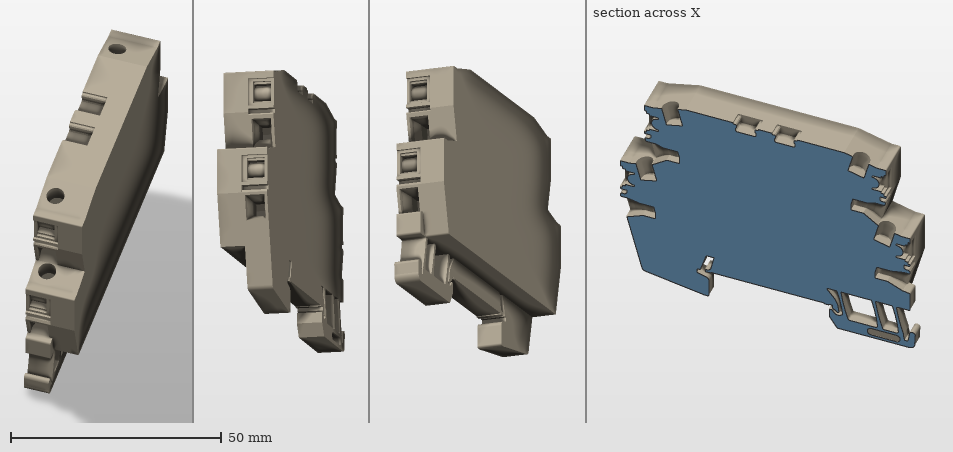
import cadquery as cq
import math

FULL_WIDTH = 12.2
SLIM_WIDTH = 6.2
TOP_Z = 57.77
TOTAL_LENGTH = 75.7
TIER_SHIFT_Y = 6.15
TIER_SHIFT_Z = 19.75
UPPER_HALF_LENGTH = 31.05
LOWER_HALF_LENGTH = UPPER_HALF_LENGTH + TIER_SHIFT_Y
UNDERSIDE_Z = 12.72
TILT = math.tan(math.radians(14.4))

RIDGE_HALF_LENGTH = 20.3
SHOULDER_WIDTH = 2.4
UPPER_SHOULDER_Z = TOP_Z - (UPPER_HALF_LENGTH - SHOULDER_WIDTH - RIDGE_HALF_LENGTH) * TILT
LOWER_SHOULDER_Z = UPPER_SHOULDER_Z - TIER_SHIFT_Z
UPPER_FACE_BOTTOM_Z = 45.75
LOWER_FACE_BOTTOM_Z = 25.0
NOTCH_Y = 28.95
NOTCH_Z = LOWER_SHOULDER_Z + (LOWER_HALF_LENGTH - SHOULDER_WIDTH - NOTCH_Y) * TILT
UNDERSIDE_HALF_LENGTH = LOWER_HALF_LENGTH - (LOWER_FACE_BOTTOM_Z - UNDERSIDE_Z) * TILT
CORNER_RADIUS = 0.5
SHOULDER_RADIUS = 0.3

BLOCK_TOP_Z = 18.55
BLOCK_TOP_DROP = 0.3

FOOT_CORNER_Z = 2.65
FOOT_RADIUS = 1.2
FOOT_TIP_Y = 14.36
FOOT_TIP_TOP_Z = 5.85
FOOT_FLAT_LENGTH = 1.2
RAIL_SLOT_Y = 17.4
RAIL_SLOT_BOTTOM_Z = 6.75
RELIEF_OUTER_Y = (16.6, 15.1)

SEAT_Z = 7.77
SEAT_LIP_Z = 7.55
LIP_OUTER_Y = 15.33
LIP_INNER_Y = 14.0
LIP_TOP_Z = 8.5
LIP_NECK_Z = 9.1
LIP_ROOT_MID = (14.4, 8.6)
RELIEF_INNER_TOP_Y = 13.2
PAD_Y = (-15.1, -16.3)
CLAW_Y = -17.15
CLAW_SHOULDER_Z = 6.9
CLAW_TIP_INNER = (-18.3, 6.1)
CLAW_TIP_OUTER = (-19.0, 6.1)
CLAW_TIP_BOTTOM = (-18.65, 5.9)
CLAW_BACK_LOW = (-18.8, 7.0)
CLAW_BACK_MID = (-18.25, 9.4)
CLAW_BACK_HIGH = (-17.35, 10.75)
CLAW_ROOT_Y = -15.75

LATCH_BOTTOM_Z = 0.86
LATCH_TOP_Z = 4.55
LATCH_LIP_Y = -16.43
LATCH_LIP_Z = 6.4
LATCH_NOSE_Z = 3.9
LATCH_NOSE_Y = -18.4
SOCKET_Z = 6.0
SOCKET_INNER_Y = -17.4
SOCKET_OUTER_Y = -19.85
SOCKET_BOTTOM = (-18.6, 5.2)
SOCKET_WALL_FOOT_Y = -20.4
HOOK_END_Y = LOWER_HALF_LENGTH - TOTAL_LENGTH
HOOK_RADIUS = 0.8
HOOK_CENTRE_Z = 5.25
HOOK_SLOT_TOP_Y = -35.4
HOOK_SLOT_FLOOR_Z = 2.9
HOOK_SLOT_FLOOR_Y = (-35.75, -36.5)
HOOK_HEEL = (-38.35, 2.7)
HOOK_HEEL_MID = (-38.0, 1.4)
HOOK_HEEL_BOTTOM_Y = -36.9

STRUT_OFFSETS = (0, 8.85, 14.2)
STRUT_FRONT_Y = -18.3
STRUT_FRONT_MID = (-19.3, 8.8)
STRUT_FRONT_FOOT_Y = -19.9
STRUT_BACK_Y = -19.45
STRUT_BACK_MID = (-20.2, 8.7)
STRUT_BACK_FOOT_Y = -21.35
STRUT_FILLET = 0.45

GRIP_LENGTH = 8.3
GRIP_HEIGHT = 1.9
GRIP_DEPTH = 3.0
GRIP_Y = -30.35
GRIP_Z = 2.7

CLIP_CENTRES = (-5.0, 5.0)
CLIP_MOUTH_HALF = 3.2
CLIP_NECK_HALF = 2.3
CLIP_FLOOR_HALF = 2.6
CLIP_LEDGE_DEPTH = 0.4
CLIP_NECK_DEPTH = 1.4
CLIP_CHAMFER = 0.25
CLIP_DEPTH = 2.57

HOLE_DIAMETER = 4.3
HOLE_DEPTH = 5.0
HOLE_X = 3.5
UPPER_HOLE_Y = 24.5
LOWER_HOLE_Y = 31.1

RECESS_TOP_Z = 53.85
RECESS_BOTTOM_Z = 47.3
RECESS_DEPTH = 0.6
RECESS_MID_Z = (RECESS_TOP_Z + RECESS_BOTTOM_Z) / 2
POCKET_LEFT_X = 0.7
WINDOW_RIGHT_X = 5.1
WINDOW_HEIGHT = 5.2
WINDOW_DEPTH = 0.7
ROLLER_RADIUS = 1.75
ROLLER_BAY_HEIGHT = 4.2
ROLLER_BAY_DEPTH = 2.3
GROOVE_TOP_Z = 46.55
GROOVE_BOTTOM_Z = 45.4
GROOVE_DEPTH = 1.65
GROOVE_CHAMFER = 0.4
GROOVE_LIP_DROP = 0.55

FUNNEL_RIGHT_X = 5.45
FUNNEL_TOP_Z = 44.15
FUNNEL_RIM_Z = 38.85
THROAT_DEPTH = 4.4
WIRE_LEFT_X = 1.9
WIRE_RIGHT_X = 4.8
WIRE_TOP_Z = 43.5
WIRE_BOTTOM_Z = 40.05
WIRE_BEND_Z = 41.9
WIRE_DEPTH = 8.0


def prism(points, width):
    """Extrude a closed (Y, Z) outline from X = 0 to X = width."""
    return cq.Workplane("YZ").polyline(points).close().extrude(width)


def box(x_range, y_range, z_range):
    corner = (x_range[0], y_range[0], z_range[0])
    size = (x_range[1] - x_range[0], y_range[1] - y_range[0], z_range[1] - z_range[0])
    return cq.Workplane("XY").box(*size, centered=False).translate(corner)


def fillet_edge_at(solid, y, z, radius, width=SLIM_WIDTH):
    """Round the edge along X nearest to the given (Y, Z) position."""
    nearest = cq.selectors.NearestToPointSelector((width / 2, y, z))
    return solid.edges("|X").edges(nearest).fillet(radius)


def make_housing():
    half = [
        (RIDGE_HALF_LENGTH, TOP_Z),
        (UPPER_HALF_LENGTH - SHOULDER_WIDTH, UPPER_SHOULDER_Z),
        (UPPER_HALF_LENGTH, UPPER_SHOULDER_Z),
        (UPPER_HALF_LENGTH, UPPER_FACE_BOTTOM_Z),
        (NOTCH_Y, NOTCH_Z),
        (LOWER_HALF_LENGTH - SHOULDER_WIDTH, LOWER_SHOULDER_Z),
        (LOWER_HALF_LENGTH, LOWER_SHOULDER_Z),
        (LOWER_HALF_LENGTH, LOWER_FACE_BOTTOM_Z),
        (UNDERSIDE_HALF_LENGTH, UNDERSIDE_Z),
    ]
    other_half = [(-y, z) for y, z in reversed(half)]
    housing = prism(half + other_half, FULL_WIDTH)
    housing = housing.edges("|X").edges("<Z").edges("<Y").fillet(CORNER_RADIUS)
    shoulders = (
        (UPPER_HALF_LENGTH, UPPER_SHOULDER_Z),
        (LOWER_HALF_LENGTH, LOWER_SHOULDER_Z),
    )
    for y, z in shoulders:
        for end_y in (-y, y):
            housing = fillet_edge_at(housing, end_y, z, SHOULDER_RADIUS, FULL_WIDTH)
    return housing


def make_stop_block():
    """Slim block that closes the undercut below the lower -Y tier."""
    inner_y = -LOWER_HALF_LENGTH + (LOWER_FACE_BOTTOM_Z - BLOCK_TOP_Z) * TILT
    root_y = -UNDERSIDE_HALF_LENGTH + 2 * CORNER_RADIUS
    block = prism([
        (inner_y, BLOCK_TOP_Z),
        (-LOWER_HALF_LENGTH, BLOCK_TOP_Z - BLOCK_TOP_DROP),
        (-LOWER_HALF_LENGTH, UNDERSIDE_Z),
        (root_y, UNDERSIDE_Z),
        (root_y, BLOCK_TOP_Z),
    ], SLIM_WIDTH)
    return block.edges("|X").edges("<Y").fillet(CORNER_RADIUS)


def make_foot():
    """Fixed foot that hooks under the +Y edge of the rail."""
    corner_y = LOWER_HALF_LENGTH - (LOWER_FACE_BOTTOM_Z - FOOT_CORNER_Z) * TILT
    relief_bottom_y, relief_top_y = RELIEF_OUTER_Y
    foot = prism([
        (UNDERSIDE_HALF_LENGTH, UNDERSIDE_Z),
        (corner_y, FOOT_CORNER_Z),
        (FOOT_TIP_Y + FOOT_FLAT_LENGTH, 0),
        (FOOT_TIP_Y, 0),
        (FOOT_TIP_Y, FOOT_TIP_TOP_Z),
        (RAIL_SLOT_Y, RAIL_SLOT_BOTTOM_Z),
        (RAIL_SLOT_Y, SEAT_Z),
        (relief_bottom_y, SEAT_Z),
        (relief_top_y, UNDERSIDE_Z),
    ], SLIM_WIDTH)
    foot = fillet_edge_at(foot, corner_y, FOOT_CORNER_Z, FOOT_RADIUS)
    foot = fillet_edge_at(foot, FOOT_TIP_Y, FOOT_TIP_TOP_Z, FOOT_RADIUS)
    return fillet_edge_at(foot, FOOT_TIP_Y, 0, CORNER_RADIUS)


def make_rail_seat():
    """Rail seat with a small lip at +Y and a hanging claw at -Y."""
    pad_start_y, pad_end_y = PAD_Y
    return (
        cq.Workplane("YZ")
        .moveTo(RELIEF_INNER_TOP_Y, UNDERSIDE_Z)
        .lineTo(LIP_INNER_Y, LIP_NECK_Z)
        .threePointArc(LIP_ROOT_MID, (LIP_OUTER_Y, LIP_TOP_Z))
        .lineTo(LIP_OUTER_Y, SEAT_LIP_Z)
        .lineTo(LIP_INNER_Y, SEAT_LIP_Z)
        .lineTo(LIP_INNER_Y, SEAT_Z)
        .lineTo(pad_start_y, SEAT_Z)
        .lineTo(pad_start_y, SEAT_LIP_Z)
        .lineTo(pad_end_y, SEAT_LIP_Z)
        .lineTo(pad_end_y, SEAT_Z)
        .lineTo(CLAW_Y, SEAT_Z)
        .lineTo(CLAW_Y, CLAW_SHOULDER_Z)
        .lineTo(*CLAW_TIP_INNER)
        .threePointArc(CLAW_TIP_BOTTOM, CLAW_TIP_OUTER)
        .lineTo(*CLAW_BACK_LOW)
        .threePointArc(CLAW_BACK_MID, CLAW_BACK_HIGH)
        .lineTo(CLAW_ROOT_Y, UNDERSIDE_Z)
        .close()
        .extrude(SLIM_WIDTH)
    )


def make_strut(offset):
    """Thin curved latch strut, moved toward -Y by the offset."""
    return (
        cq.Workplane("YZ")
        .moveTo(STRUT_FRONT_Y, UNDERSIDE_Z)
        .threePointArc(STRUT_FRONT_MID, (STRUT_FRONT_FOOT_Y, LATCH_TOP_Z))
        .lineTo(STRUT_BACK_FOOT_Y, LATCH_TOP_Z)
        .threePointArc(STRUT_BACK_MID, (STRUT_BACK_Y, UNDERSIDE_Z))
        .close()
        .extrude(SLIM_WIDTH)
        .translate((0, -offset, 0))
    )


def make_strut_gusset():
    """Rounded inside corner between the last strut and the housing underside."""
    root_y = STRUT_BACK_Y - STRUT_OFFSETS[-1]
    bulge = STRUT_FILLET * (1 - math.sqrt(0.5))
    return (
        cq.Workplane("YZ")
        .moveTo(root_y, UNDERSIDE_Z)
        .lineTo(root_y - STRUT_FILLET, UNDERSIDE_Z)
        .threePointArc((root_y - bulge, UNDERSIDE_Z - bulge), (root_y, UNDERSIDE_Z - STRUT_FILLET))
        .close()
        .extrude(SLIM_WIDTH)
    )


def make_latch():
    hook_inner_y = HOOK_END_Y + 2 * HOOK_RADIUS
    hook_top = (HOOK_END_Y + HOOK_RADIUS, HOOK_CENTRE_Z + HOOK_RADIUS)
    slot_start_y, slot_end_y = HOOK_SLOT_FLOOR_Y
    latch = (
        cq.Workplane("YZ")
        .moveTo(LATCH_LIP_Y, LATCH_LIP_Z)
        .lineTo(CLAW_Y, LATCH_LIP_Z)
        .lineTo(SOCKET_INNER_Y, SOCKET_Z)
        .threePointArc(SOCKET_BOTTOM, (SOCKET_OUTER_Y, SOCKET_Z))
        .lineTo(SOCKET_WALL_FOOT_Y, LATCH_TOP_Z)
        .lineTo(HOOK_SLOT_TOP_Y, LATCH_TOP_Z)
        .lineTo(slot_start_y, HOOK_SLOT_FLOOR_Z)
        .lineTo(slot_end_y, HOOK_SLOT_FLOOR_Z)
        .lineTo(hook_inner_y, HOOK_CENTRE_Z)
        .threePointArc(hook_top, (HOOK_END_Y, HOOK_CENTRE_Z))
        .lineTo(*HOOK_HEEL)
        .threePointArc(HOOK_HEEL_MID, (HOOK_HEEL_BOTTOM_Y, LATCH_BOTTOM_Z))
        .lineTo(LATCH_NOSE_Y, LATCH_BOTTOM_Z)
        .lineTo(LATCH_LIP_Y, LATCH_NOSE_Z)
        .close()
        .extrude(SLIM_WIDTH)
    )
    for offset in STRUT_OFFSETS:
        latch = latch.union(make_strut(offset))
    for near_offset, far_offset in zip(STRUT_OFFSETS, STRUT_OFFSETS[1:]):
        latch = fillet_edge_at(latch, STRUT_BACK_FOOT_Y - near_offset, LATCH_TOP_Z, STRUT_FILLET)
        latch = fillet_edge_at(latch, STRUT_FRONT_FOOT_Y - far_offset, LATCH_TOP_Z, STRUT_FILLET)
    grip = (
        cq.Workplane("YZ")
        .center(GRIP_Y, GRIP_Z)
        .slot2D(GRIP_LENGTH, GRIP_HEIGHT)
        .extrude(GRIP_DEPTH)
    )
    return latch.cut(grip)


def make_clip_slot(centre_y):
    half = [
        (CLIP_MOUTH_HALF, TOP_Z),
        (CLIP_MOUTH_HALF, TOP_Z - CLIP_LEDGE_DEPTH),
        (CLIP_NECK_HALF + CLIP_CHAMFER, TOP_Z - CLIP_LEDGE_DEPTH),
        (CLIP_NECK_HALF, TOP_Z - CLIP_LEDGE_DEPTH - CLIP_CHAMFER),
        (CLIP_NECK_HALF, TOP_Z - CLIP_NECK_DEPTH),
        (CLIP_FLOOR_HALF, TOP_Z - CLIP_NECK_DEPTH - CLIP_CHAMFER),
        (CLIP_FLOOR_HALF, TOP_Z - CLIP_DEPTH + CLIP_CHAMFER),
        (CLIP_FLOOR_HALF - CLIP_CHAMFER, TOP_Z - CLIP_DEPTH),
    ]
    other_half = [(-y, z) for y, z in reversed(half)]
    return prism(half + other_half, SLIM_WIDTH).translate((0, centre_y, 0))


def make_screw_hole(y, shoulder_y, shoulder_z):
    """Hole in a +Y sloped tier top that falls away to the given shoulder line."""
    mouth = cq.Vector(HOLE_X, y, shoulder_z + (shoulder_y - y) * TILT)
    inward = cq.Vector(0, -TILT, -1)
    return cq.Workplane(cq.Solid.makeCylinder(HOLE_DIAMETER / 2, HOLE_DEPTH, mouth, inward))


def make_marker_recess():
    """Shallow recess with a stepped window and a half-round roller at its back."""
    face_y = UPPER_HALF_LENGTH
    recess_y = face_y - RECESS_DEPTH
    window_y = recess_y - WINDOW_DEPTH
    bay_y = window_y - ROLLER_BAY_DEPTH
    window_x = (POCKET_LEFT_X, WINDOW_RIGHT_X)

    def centred_z(height):
        return (RECESS_MID_Z - height / 2, RECESS_MID_Z + height / 2)

    recess = box((0, SLIM_WIDTH), (recess_y, face_y), (RECESS_BOTTOM_Z, RECESS_TOP_Z))
    window = box(window_x, (window_y, recess_y), centred_z(WINDOW_HEIGHT))
    bay = box(window_x, (bay_y, window_y), centred_z(ROLLER_BAY_HEIGHT))
    roller = (
        cq.Workplane("YZ", origin=(POCKET_LEFT_X, bay_y, RECESS_MID_Z))
        .circle(ROLLER_RADIUS)
        .extrude(WINDOW_RIGHT_X - POCKET_LEFT_X)
    )
    return recess.union(window).union(bay).cut(roller)


def make_groove():
    outer_y = UPPER_HALF_LENGTH
    inner_y = outer_y - GROOVE_DEPTH
    return prism([
        (outer_y, GROOVE_TOP_Z),
        (inner_y, GROOVE_TOP_Z),
        (inner_y, GROOVE_BOTTOM_Z + GROOVE_CHAMFER),
        (inner_y + GROOVE_CHAMFER, GROOVE_BOTTOM_Z),
        (outer_y - GROOVE_CHAMFER, GROOVE_BOTTOM_Z),
        (outer_y, GROOVE_BOTTOM_Z - GROOVE_LIP_DROP),
    ], SLIM_WIDTH)


def undercut_y(z):
    """Y of the sloped face under the upper +Y tier at height z."""
    return UPPER_HALF_LENGTH - (UPPER_FACE_BOTTOM_Z - z) * TILT


def make_wire_funnel(bottom_z):
    """Straight mouth, taper and rectangular wire opening with a bent end wall, as three cutters."""
    def frame(left, right, low, high, inset):
        corners = [(left, low), (right, low), (right, high), (left, high)]
        points = [cq.Vector(x, undercut_y(z) - inset, z) for x, z in corners]
        return cq.Wire.makePolygon(points, close=True)

    rim_depth = THROAT_DEPTH * (FUNNEL_RIM_Z - bottom_z) / (WIRE_BOTTOM_Z - bottom_z)
    mouth = prism([
        (UPPER_HALF_LENGTH, FUNNEL_TOP_Z),
        (undercut_y(FUNNEL_TOP_Z) - rim_depth, FUNNEL_TOP_Z),
        (undercut_y(FUNNEL_RIM_Z) - rim_depth, FUNNEL_RIM_Z),
        (undercut_y(bottom_z), bottom_z),
        (UPPER_HALF_LENGTH, bottom_z),
    ], FUNNEL_RIGHT_X - POCKET_LEFT_X).translate((POCKET_LEFT_X, 0, 0))
    rim = frame(POCKET_LEFT_X, FUNNEL_RIGHT_X, FUNNEL_RIM_Z, FUNNEL_TOP_Z, rim_depth)
    throat = frame(WIRE_LEFT_X, WIRE_RIGHT_X, WIRE_BOTTOM_Z, WIRE_TOP_Z, THROAT_DEPTH)
    taper = cq.Workplane(cq.Solid.makeLoft([rim, throat], True))
    bend_y = undercut_y(WIRE_BEND_Z) - WIRE_DEPTH
    opening = prism([
        (undercut_y(WIRE_TOP_Z) - THROAT_DEPTH, WIRE_TOP_Z),
        (undercut_y(WIRE_TOP_Z) - WIRE_DEPTH, WIRE_TOP_Z),
        (bend_y, WIRE_BEND_Z),
        (bend_y, WIRE_BOTTOM_Z),
        (undercut_y(WIRE_BOTTOM_Z) - THROAT_DEPTH, WIRE_BOTTOM_Z),
    ], WIRE_RIGHT_X - WIRE_LEFT_X).translate((WIRE_LEFT_X, 0, 0))
    return mouth, taper, opening


def cut_on_both_ends(body, cutter):
    return body.cut(cutter).cut(cutter.mirror("XZ"))


def cut_connections(body):
    """Cut screw holes, recesses, grooves and funnels into both tiers at both ends."""
    upper_hole = make_screw_hole(UPPER_HOLE_Y, UPPER_HALF_LENGTH - SHOULDER_WIDTH, UPPER_SHOULDER_Z)
    lower_hole = make_screw_hole(LOWER_HOLE_Y, LOWER_HALF_LENGTH - SHOULDER_WIDTH, LOWER_SHOULDER_Z)
    for hole in (upper_hole, lower_hole):
        body = cut_on_both_ends(body, hole)
    funnel_bottoms = (NOTCH_Z, BLOCK_TOP_Z + TIER_SHIFT_Z)
    for tier, funnel_bottom_z in enumerate(funnel_bottoms):
        shift = (0, tier * TIER_SHIFT_Y, -tier * TIER_SHIFT_Z)
        cutters = (make_marker_recess(), make_groove(), *make_wire_funnel(funnel_bottom_z))
        for cutter in cutters:
            body = cut_on_both_ends(body, cutter.translate(shift))
    return body


body = make_housing()
for slim_part in (make_stop_block(), make_foot(), make_rail_seat(), make_latch(), make_strut_gusset()):
    body = body.union(slim_part)
for clip_centre in CLIP_CENTRES:
    body = body.cut(make_clip_slot(clip_centre))
result = cut_connections(body)